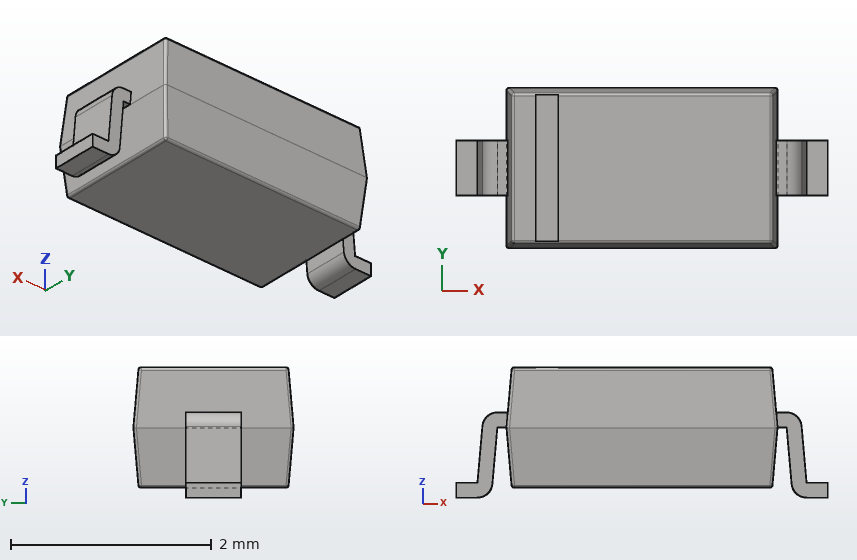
import cadquery as cq
import math

overall_length = 3.7
standoff = 0.1

body_length = 2.7
body_width = 1.6
body_height = 1.2
body_draft = 5.0
body_edge_radius = 0.03
half_height = body_height / 2
parting_z = standoff + half_height
body_top_z = standoff + body_height

lead_width = 0.55
lead_thickness = 0.15
lead_tilt = 5.0
foot_length = 0.21
lead_embed = 0.075

band_left_x = -1.06
band_length = 0.225
band_width = 1.458
band_thickness = 0.005
band_rise = 0.0007


def make_body_half(direction):
    """Tapered half body, growing from the parting plane up (1) or down (-1)."""
    half = (
        cq.Workplane("XY")
        .rect(body_length, body_width)
        .extrude(direction * half_height, taper=body_draft)
    )
    parting_edges = "<Z" if direction > 0 else ">Z"
    half = half.edges(f"not {parting_edges}").fillet(body_edge_radius)
    return half.translate((0, 0, parting_z))


def make_left_lead():
    """Gull-wing lead with sharp inner corners and concentric outer bends."""
    tilt = math.radians(lead_tilt)
    across_x = lead_thickness * math.cos(tilt)
    across_z = lead_thickness * math.sin(tilt)
    leg_rise = parting_z - lead_thickness

    foot_end_x = -overall_length / 2
    foot_corner_x = foot_end_x + foot_length
    shoulder_corner_x = foot_corner_x + lead_thickness / math.cos(tilt) + leg_rise * math.tan(tilt)
    shoulder_top_z = parting_z + lead_thickness
    embedded_x = -body_length / 2 + lead_embed

    bend_angle = (math.pi / 2 - tilt) / 2
    bend_mid_x = lead_thickness * math.sin(bend_angle)
    bend_mid_z = lead_thickness * math.cos(bend_angle)

    profile = (
        cq.Workplane("XZ")
        .moveTo(foot_end_x, 0)
        .lineTo(foot_corner_x, 0)
        .threePointArc(
            (foot_corner_x + bend_mid_x, lead_thickness - bend_mid_z),
            (foot_corner_x + across_x, lead_thickness - across_z),
        )
        .lineTo(shoulder_corner_x, parting_z)
        .lineTo(embedded_x, parting_z)
        .lineTo(embedded_x, shoulder_top_z)
        .lineTo(shoulder_corner_x, shoulder_top_z)
        .threePointArc(
            (shoulder_corner_x - bend_mid_x, parting_z + bend_mid_z),
            (shoulder_corner_x - across_x, parting_z + across_z),
        )
        .lineTo(foot_corner_x, lead_thickness)
        .lineTo(foot_end_x, lead_thickness)
        .close()
    )
    return profile.extrude(lead_width / 2, both=True)


def make_polarity_band():
    band = cq.Workplane("XY").box(band_length, band_width, band_thickness, centered=(False, True, False))
    return band.translate((band_left_x, 0, body_top_z + band_rise - band_thickness))


left_lead = make_left_lead()
right_lead = left_lead.mirror("YZ")

result = (
    make_body_half(1)
    .union(make_body_half(-1))
    .union(left_lead)
    .union(right_lead)
    .union(make_polarity_band())
)